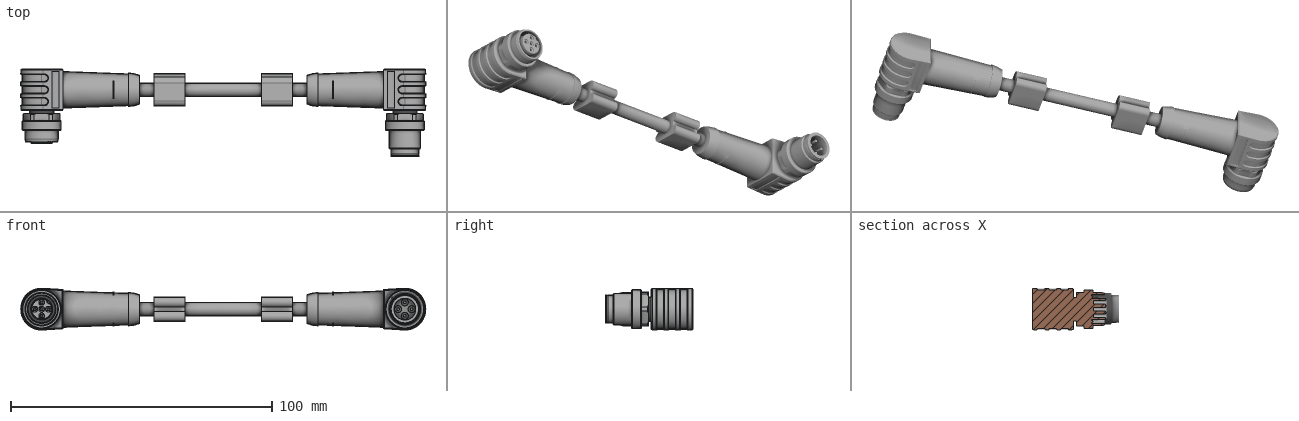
import cadquery as cq
import math

OVERALL_LENGTH = 155.14
CABLE_DIAMETER = 5.2

GRIP_RADIUS = 8.0
HOUSING_DEPTH = 16.0
HOUSING_FRONT = -HOUSING_DEPTH / 2
HOUSING_END = 8.2
HOUSING_END_HALF_HEIGHT = 7.5
HOUSING_CHAMFER = 0.4
PLUG_SPACING = OVERALL_LENGTH - 2 * GRIP_RADIUS

GROOVE_COUNT = 3
GROOVE_PITCH = 4.5
GROOVE_FLOOR_WIDTH = 2.6
GROOVE_FLOOR_RADIUS = 7.5
GROOVE_FLARE = 30.0
GROOVE_RUNOUT = 2.4

LABEL_START = 3.9
LABEL_WIDTH = 2.8
LABEL_LENGTH = 14.0
LABEL_FLOOR_HEIGHT = 7.3

SLEEVE_BIG_RADIUS = 7.0
SLEEVE_SMALL_RADIUS = 6.08
COLLAR_START = 33.3
COLLAR_END = 37.5
COLLAR_RADIUS = 12.8 / 2
COLLAR_MIDDLE_RADIUS = 12.3 / 2
COLLAR_END_RADIUS = 10.95 / 2
MARK_POSITION = 27.5
MARK_WIDTH = 0.4
MARK_LENGTH = 6.6
MARK_RADIUS = 6.5

NECK_RADIUS = 9.3 / 2
HEX_START = 1.0
HEX_ACROSS_FLATS = 13.0
HEX_ROUNDING_RADIUS = 7.1
HEX_CHAMFER = 0.4
RING_START = 3.8
RING_END = 7.5
RING_RADIUS = 15.0 / 2
RING_CHAMFER = 0.3

SOCKET_END = 11.9
SOCKET_CHAMFER_LENGTH = 1.0
SOCKET_CHAMFER_DEPTH = 0.3
SOCKET_RADIUS = 12.8 / 2
SOCKET_BORE_RADIUS = 10.95 / 2
SOCKET_BORE_DEPTH = 5.0
INSERT_END = 12.6
INSERT_RADIUS = 8.3 / 2
INSERT_CHAMFER = 0.3
SEAL_RADIUS = 4.7
SEAL_THICKNESS = 1.0
CONTACT_HOLE_DIAMETER = 1.15
CONTACT_HOLE_DEPTH = 5.0
CONTACT_COUNTERBORE_DIAMETER = 2.2
CONTACT_COUNTERBORE_DEPTH = 0.4
KEY_WIDTH = 1.2
KEY_DEPTH = 0.8
KEY_LENGTH = 5.0
KEY_ANGLE = 45.0

PIN_PLUG_END = 17.5
BARREL_END = 14.6
BARREL_RADIUS = 12.0 / 2
BARREL_CHAMFER = 0.3
TIP_RADIUS = 10.8 / 2
TIP_GROOVE_RADIUS = 10.5 / 2
TIP_GROOVE_START = 16.5
TIP_GROOVE_END = 17.2
PIN_BORE_DEPTH = 9.0
PIN_BORE_RADIUS = 8.3 / 2
PIN_DIAMETER = 1.0
PIN_LENGTH = 8.0
PIN_RECESS_DIAMETER = 2.7
PIN_RECESS_DEPTH = 0.5

CONTACT_COUNT = 4
CONTACT_CIRCLE_RADIUS = 2.6

CLIP_START = 43.0
CLIP_LENGTH = 12.0
CLIP_HEIGHT = 9.3
CLIP_HALF_WIDTH = 6.15
CLIP_LOBE_RADIUS = 1.9
CLIP_LATCH_RADIUS = 1.65
CLIP_LATCH_HEIGHT = 1.35
CLIP_SHOULDER_RADIUS = 2.3
CLIP_SHOULDER_Y = 2.6


def plug_cylinder(radius, start, end):
    """Cylinder on the plug axis between two distances from the housing front."""
    plane = cq.Workplane("XZ", origin=(0, HOUSING_FRONT - start, 0))
    return plane.circle(radius).extrude(end - start)


def plug_taper(start_radius, end_radius, start, end):
    """Cone on the plug axis between two distances from the housing front."""
    direction = cq.Vector(0, -1, 0)
    base = cq.Vector(0, HOUSING_FRONT - start, 0)
    return cq.Workplane(cq.Solid.makeCone(start_radius, end_radius, end - start, base, direction))


def housing_block():
    end_distance = math.hypot(HOUSING_END, HOUSING_END_HALF_HEIGHT)
    end_angle = math.atan2(HOUSING_END, HOUSING_END_HALF_HEIGHT)
    tangent_angle = end_angle - math.acos(GRIP_RADIUS / end_distance)
    tangent_x = GRIP_RADIUS * math.sin(tangent_angle)
    tangent_z = GRIP_RADIUS * math.cos(tangent_angle)
    outline = (
        cq.Workplane("XZ", origin=(0, HOUSING_DEPTH / 2, 0))
        .moveTo(HOUSING_END, -HOUSING_END_HALF_HEIGHT)
        .lineTo(HOUSING_END, HOUSING_END_HALF_HEIGHT)
        .lineTo(tangent_x, tangent_z)
        .threePointArc((-GRIP_RADIUS, 0), (tangent_x, -tangent_z))
        .close()
    )
    return outline.extrude(HOUSING_DEPTH).faces("<Y or >Y").edges().chamfer(HOUSING_CHAMFER)


def grip_groove(y):
    """Cutter for one groove: half a ring around the grip and a rounded run-out above and below."""
    cut_height = 2 * (GRIP_RADIUS - GROOVE_FLOOR_RADIUS)
    half_floor = GROOVE_FLOOR_WIDTH / 2
    half_mouth = half_floor + cut_height * math.tan(math.radians(GROOVE_FLARE))
    mouth_radius = GROOVE_FLOOR_RADIUS + cut_height
    cutter = (
        cq.Workplane("YZ")
        .polyline(
            [
                (y - half_floor, GROOVE_FLOOR_RADIUS),
                (y + half_floor, GROOVE_FLOOR_RADIUS),
                (y + half_mouth, mouth_radius),
                (y - half_mouth, mouth_radius),
            ]
        )
        .close()
        .revolve(180, (0, 0), (-1, 0))
    )
    runout = (
        cq.Workplane("XY", origin=(0, y, GROOVE_FLOOR_RADIUS))
        .slot2D(2 * GROOVE_RUNOUT, GROOVE_FLOOR_WIDTH)
        .extrude(cut_height, taper=-GROOVE_FLARE)
    )
    return cutter.union(runout).union(runout.mirror("XY"))


def label_recess():
    return (
        cq.Workplane("XY", origin=(LABEL_START + LABEL_WIDTH / 2, 0, LABEL_FLOOR_HEIGHT))
        .rect(LABEL_WIDTH, LABEL_LENGTH)
        .extrude(GRIP_RADIUS - LABEL_FLOOR_HEIGHT)
    )


def housing():
    body = housing_block()
    for index in range(GROOVE_COUNT):
        body = body.cut(grip_groove((index - (GROOVE_COUNT - 1) / 2) * GROOVE_PITCH))
    recess = label_recess()
    return body.cut(recess).cut(recess.mirror("XY"))


def cable_sleeve():
    sleeve = (
        cq.Workplane("XY")
        .moveTo(0, 0)
        .lineTo(0, SLEEVE_BIG_RADIUS)
        .lineTo(HOUSING_END, SLEEVE_BIG_RADIUS)
        .lineTo(COLLAR_START, SLEEVE_SMALL_RADIUS)
        .lineTo(COLLAR_START, COLLAR_RADIUS)
        .threePointArc(
            ((COLLAR_START + COLLAR_END) / 2, COLLAR_MIDDLE_RADIUS),
            (COLLAR_END, COLLAR_END_RADIUS),
        )
        .lineTo(COLLAR_END, 0)
        .close()
        .revolve(360, (0, 0), (1, 0))
    )
    mark_disc = (
        cq.Workplane("YZ", origin=(MARK_POSITION - MARK_WIDTH / 2, 0, 0))
        .circle(MARK_RADIUS)
        .extrude(MARK_WIDTH)
    )
    mark_span = cq.Workplane("XY", origin=(MARK_POSITION, 0, 0)).box(
        2 * MARK_WIDTH, MARK_LENGTH, 2 * GRIP_RADIUS
    )
    return sleeve.union(mark_disc.intersect(mark_span))


def coupling_nut():
    rounding = plug_cylinder(HEX_ROUNDING_RADIUS, HEX_START, RING_START)
    hexagon = (
        cq.Workplane("XZ", origin=(0, HOUSING_FRONT - HEX_START, 0))
        .polygon(6, HEX_ACROSS_FLATS / math.cos(math.pi / 6))
        .extrude(RING_START - HEX_START)
        .intersect(rounding.faces(">Y").edges().chamfer(HEX_CHAMFER))
    )
    ring = plug_cylinder(RING_RADIUS, RING_START, RING_END).edges().chamfer(RING_CHAMFER)
    return plug_cylinder(NECK_RADIUS, 0, HEX_START).union(hexagon).union(ring)


def contact_points():
    """Contact positions around the plug axis, in X and Z."""
    angles = [2 * math.pi * index / CONTACT_COUNT for index in range(CONTACT_COUNT)]
    return [
        (CONTACT_CIRCLE_RADIUS * math.cos(angle), CONTACT_CIRCLE_RADIUS * math.sin(angle))
        for angle in angles
    ]


def face_holes(points, diameter, face, depth):
    """Round cutters that reach back from a front-facing surface at the given distance."""
    return (
        cq.Workplane("XZ", origin=(0, HOUSING_FRONT - face + depth, 0))
        .pushPoints(points)
        .circle(diameter / 2)
        .extrude(depth)
    )


def socket_insert():
    bore_floor = SOCKET_END - SOCKET_BORE_DEPTH
    insert = plug_cylinder(INSERT_RADIUS, bore_floor, INSERT_END)
    insert = insert.faces("<Y").edges().chamfer(INSERT_CHAMFER)
    hole_points = contact_points() + [(0, 0)]
    holes = face_holes(hole_points, CONTACT_HOLE_DIAMETER, INSERT_END, CONTACT_HOLE_DEPTH)
    counterbores = face_holes(
        hole_points, CONTACT_COUNTERBORE_DIAMETER, INSERT_END, CONTACT_COUNTERBORE_DEPTH
    )
    key = (
        cq.Workplane("XZ", origin=(0, HOUSING_FRONT - INSERT_END + KEY_LENGTH, 0))
        .center(INSERT_RADIUS, 0)
        .rect(2 * KEY_DEPTH, KEY_WIDTH)
        .extrude(KEY_LENGTH)
        .rotate((0, 0, 0), (0, 1, 0), -KEY_ANGLE)
    )
    return insert.cut(holes).cut(counterbores).cut(key)


def socket_plug():
    bore_floor = SOCKET_END - SOCKET_BORE_DEPTH
    barrel = plug_cylinder(SOCKET_RADIUS, RING_END, SOCKET_END - SOCKET_CHAMFER_LENGTH)
    tapered_rim = plug_taper(
        SOCKET_RADIUS, SOCKET_RADIUS - SOCKET_CHAMFER_DEPTH, SOCKET_END - SOCKET_CHAMFER_LENGTH, SOCKET_END
    )
    barrel = barrel.union(tapered_rim)
    shell = coupling_nut().union(barrel).cut(plug_cylinder(SOCKET_BORE_RADIUS, bore_floor, SOCKET_END))
    seal = (
        cq.Workplane("XY", origin=(0, HOUSING_FRONT - bore_floor, 0))
        .center(SEAL_RADIUS, 0)
        .circle(SEAL_THICKNESS / 2)
        .revolve(360, (-SEAL_RADIUS, 0), (-SEAL_RADIUS, 1))
    )
    return shell.union(socket_insert()).union(seal)


def pin_plug():
    bore_floor = PIN_PLUG_END - PIN_BORE_DEPTH
    barrel = plug_cylinder(BARREL_RADIUS, RING_END, BARREL_END)
    barrel = barrel.faces("<Y").edges().chamfer(BARREL_CHAMFER)
    shell = (
        coupling_nut()
        .union(barrel)
        .union(plug_cylinder(TIP_RADIUS, BARREL_END, TIP_GROOVE_START))
        .union(plug_cylinder(TIP_GROOVE_RADIUS, TIP_GROOVE_START, TIP_GROOVE_END))
        .union(plug_cylinder(TIP_RADIUS, TIP_GROOVE_END, PIN_PLUG_END))
        .cut(plug_cylinder(PIN_BORE_RADIUS, bore_floor, PIN_PLUG_END))
    )
    recesses = face_holes(contact_points(), PIN_RECESS_DIAMETER, bore_floor, PIN_RECESS_DEPTH)
    pin_start = bore_floor - PIN_RECESS_DEPTH
    pins = (
        cq.Workplane("XZ", origin=(0, HOUSING_FRONT - pin_start, 0))
        .pushPoints(contact_points())
        .circle(PIN_DIAMETER / 2)
        .extrude(PIN_LENGTH)
    )
    return shell.cut(recesses).union(pins)


def clip_block(y_min, y_max, z_min, z_max):
    return cq.Workplane("XY").box(CLIP_LENGTH, y_max - y_min, z_max - z_min, centered=False).translate(
        (CLIP_START, y_min, z_min)
    )


def clip_rod(radius, y, z):
    return cq.Workplane("YZ", origin=(CLIP_START, 0, 0)).center(y, z).circle(radius).extrude(CLIP_LENGTH)


def cable_clip():
    half_height = CLIP_HEIGHT / 2
    lobe_y = CLIP_HALF_WIDTH - CLIP_LOBE_RADIUS
    lobe_z = half_height - CLIP_LOBE_RADIUS
    latch_y = CLIP_HALF_WIDTH - CLIP_LATCH_RADIUS
    shoulder_z = half_height - CLIP_SHOULDER_RADIUS
    return (
        clip_block(-lobe_y, CLIP_SHOULDER_Y, -half_height, half_height)
        .union(clip_block(-lobe_y, lobe_y, -half_height, shoulder_z))
        .union(clip_rod(CLIP_LOBE_RADIUS, -lobe_y, lobe_z))
        .union(clip_rod(CLIP_LOBE_RADIUS, -lobe_y, -lobe_z))
        .union(clip_rod(CLIP_LOBE_RADIUS, lobe_y, -lobe_z))
        .union(clip_rod(CLIP_LATCH_RADIUS, latch_y, CLIP_LATCH_HEIGHT))
        .union(clip_rod(CLIP_SHOULDER_RADIUS, CLIP_SHOULDER_Y, shoulder_z))
    )


def cable():
    length = PLUG_SPACING - 2 * HOUSING_END
    return cq.Workplane("YZ", origin=(-length / 2, 0, 0)).circle(CABLE_DIAMETER / 2).extrude(length)


half = housing().union(cable_sleeve()).union(cable_clip())
left_half = half.union(socket_plug()).translate((-PLUG_SPACING / 2, 0, 0))
right_half = half.mirror("YZ").union(pin_plug()).translate((PLUG_SPACING / 2, 0, 0))
result = left_half.union(right_half).union(cable())